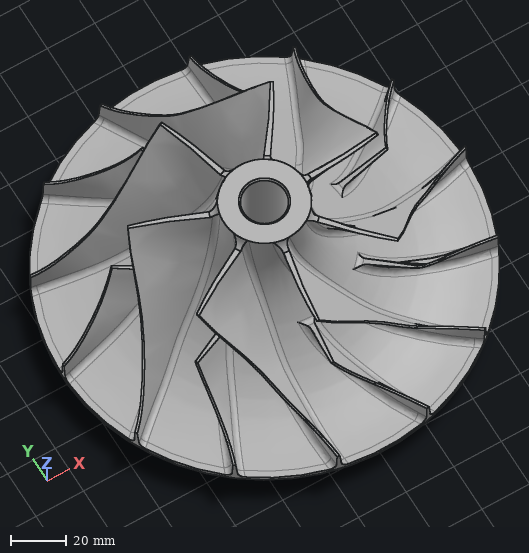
import cadquery as cq
import math

height = 63.2
rim_radius = 85.0

boss_radius = 17.0
boss_taper = 0.12
rim_top = 9.7
rim_bottom = 7.8
flank_end_radius = 82.3
flank_points = [(34.8, 27.5), (19.9, 48.3)]

foot_height = 0.8
foot_slope = 0.75
back_curve = [(30.0, 5.5), (40.8, 7.1), (65.0, 7.5)]

bore_radius = 8.7
bore_chamfer = 0.7

blade_count = 7
pitch = 360 / blade_count
leading_edge_z = 59.5
root_thickness = 2.5
tip_thickness = 1.0
root_depth = 1.5
root_fillet = 2.5

collar_radius = 20.2
collar_mid = (18.0, 61.2)
collar_clearance = 0.03

rim_allowance = 1.0
top_allowance = 3.4
blank_top = height + top_allowance
blade_top = blank_top + 3.0
blade_end_radius = rim_radius + 2.7
seam_angle = 40.0

lead_in = ((16.7, blade_top, 0.0), (49.3, blade_top, -4.0))
stations = [
    ((17.5, leading_edge_z, 6.0), (50.1, leading_edge_z, 4.8)),
    ((19.9, 48.3, 16.0), (51.7, 48.3, 19.0)),
    ((25.8, 37.0, 28.0), (53.4, 42.0, 26.5)),
    ((34.8, 27.5, 36.0), (56.6, 35.0, 33.5)),
    ((45.0, 19.7, 41.0), (62.5, 26.9, 40.6)),
    ((57.0, 14.0, 46.0), (70.9, 22.1, 46.6)),
    ((70.5, 10.5, 49.3), (78.7, 19.4, 50.1)),
    ((blade_end_radius, rim_top, 52.6), (blade_end_radius, 18.4, 52.4)),
]
splitter_stations = stations[3:]


def make_hub_blank():
    blank_radius = rim_radius + rim_allowance
    blank_boss_radius = boss_radius - boss_taper * top_allowance
    flank = flank_points + [(boss_radius, height), (blank_boss_radius, blank_top)]
    return (
        cq.Workplane("XZ")
        .lineTo(boss_radius, 0)
        .lineTo(boss_radius, foot_height)
        .spline(back_curve, tangents=[(1, foot_slope), (1, 0)], includeCurrent=True)
        .lineTo(blank_radius, rim_bottom)
        .lineTo(blank_radius, rim_top)
        .lineTo(flank_end_radius, rim_top)
        .spline(flank, tangents=[(-1, 0), (-boss_taper, 1)], includeCurrent=True)
        .lineTo(0, blank_top)
        .close()
        .revolve(360, (0, 0, 0), (0, 1, 0))
        .rotate((0, 0, 0), (0, 0, 1), seam_angle)
    )


def polar_point(radius, z, angle):
    turn = math.radians(angle)
    return cq.Vector(radius * math.cos(turn), radius * math.sin(turn), z)


def blade_section(root_place, tip_place):
    """Corners of a tapered four-sided section, thickened around the hub axis."""
    middle_angle = (root_place[2] + tip_place[2]) / 2
    sideways = polar_point(1, 0, middle_angle + 90)
    tip = polar_point(*tip_place)
    root = polar_point(*root_place)
    root -= (tip - root).normalized() * root_depth
    root_offset = sideways * (root_thickness / 2)
    tip_offset = sideways * (tip_thickness / 2)
    return [root - root_offset, root + root_offset, tip + tip_offset, tip - tip_offset]


def make_blade(blade_stations):
    """Solid with smooth rails through the section corners and straight-ruled faces between the rails."""
    sections = [blade_section(root, tip) for root, tip in blade_stations]
    rails = [cq.Edge.makeSpline(list(corners)) for corners in zip(*sections)]
    sides = [cq.Face.makeRuledSurface(rails[i - 1], rails[i]) for i in range(len(rails))]
    end_outlines = [cq.Wire.makePolygon(sections[i], close=True) for i in (0, -1)]
    ends = [cq.Face.makeFromWires(outline) for outline in end_outlines]
    return cq.Solid.makeSolid(cq.Shell.makeShell(sides + ends))


def around_axis(blade, start_angle):
    axis = cq.Vector(0, 0, 0), cq.Vector(0, 0, 1)
    return [blade.rotate(*axis, start_angle + i * pitch) for i in range(blade_count)]


def fillet_roots(wheel, hub, blades):
    """Round the edges where the blades meet the flank and the flat ring of the hub."""
    tolerance = 0.002
    skin_faces = [f for f in hub.Faces() if rim_top - tolerance < f.Center().z < leading_edge_z]
    skin = cq.Compound.makeCompound(skin_faces)
    blade_group = cq.Compound.makeCompound(blades)

    def is_root(edge):
        middle = cq.Vertex.makeVertex(*edge.positionAt(0.5).toTuple())
        return skin.distance(middle) < tolerance and blade_group.distance(middle) < tolerance

    return wheel.fillet(root_fillet, [edge for edge in wheel.Edges() if is_root(edge)])


def make_envelope():
    """Finished limits of the wheel: rim, leading edges, a collar closing in on the boss, and top face."""
    return (
        cq.Workplane("XZ")
        .lineTo(rim_radius, 0)
        .lineTo(rim_radius, leading_edge_z)
        .lineTo(collar_radius, leading_edge_z)
        .threePointArc(collar_mid, (boss_radius + collar_clearance, height))
        .lineTo(0, height)
        .close()
        .revolve(360, (0, 0, 0), (0, 1, 0))
    )


hub_blank = make_hub_blank()
main_blades = around_axis(make_blade([lead_in] + stations), 0)
splitters = around_axis(make_blade(splitter_stations), pitch / 2)
all_blades = main_blades + splitters

wheel = hub_blank.val().fuse(*all_blades)
wheel = wheel.Solids()[0]
wheel = fillet_roots(wheel, hub_blank.val(), all_blades)

result = cq.Workplane(wheel).intersect(make_envelope())

bore = cq.Workplane("XY").circle(bore_radius).extrude(height)
chamfer_cone = cq.Solid.makeCone(bore_radius, bore_radius + bore_chamfer, bore_chamfer,
                                 pnt=cq.Vector(0, 0, height - bore_chamfer))
result = result.cut(bore).cut(cq.Workplane(chamfer_cone))